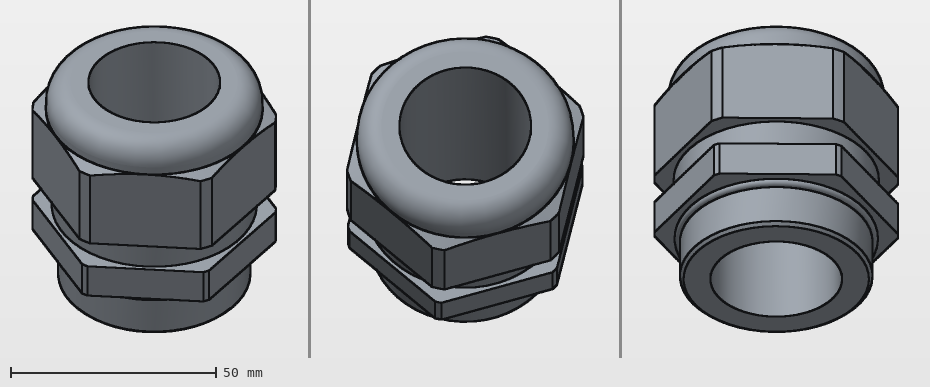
import cadquery as cq
import math

total_height = 59.5
collar_bottom = 11.0
body_hex_bottom = 13.05
body_hex_top = 22.0
nut_bottom = 29.4
nut_top = 51.4

bore_diameter = 32.15
thread_diameter = 47.0
thread_chamfer = 0.9
collar_diameter = 49.6
neck_diameter = 50.1
dome_diameter = 52.85
dome_fillet = 6.0

corner_diameter = 59.5
body_hex_flats = 52.3
nut_flats = 53.0
nut_chamfer_height = 1.2


def cylinder(diameter, bottom, top):
    return cq.Workplane("XY").workplane(offset=bottom).circle(diameter / 2).extrude(top - bottom)


def trimmed_hexagon(flats, bottom, top):
    """Hexagonal prism with corners on X, trimmed to the corner diameter."""
    across_corners = flats / math.cos(math.radians(30))
    prism = cq.Workplane("XY").workplane(offset=bottom).polygon(6, across_corners).extrude(top - bottom)
    return prism.intersect(cylinder(corner_diameter, bottom, top))


def round_edged_collar():
    """Disc whose rim is a full half-round, as on an O-ring."""
    rim_radius = (body_hex_bottom - collar_bottom) / 2
    rim_center_x = collar_diameter / 2 - rim_radius
    return (
        cq.Workplane("XZ")
        .moveTo(0, collar_bottom)
        .lineTo(rim_center_x, collar_bottom)
        .threePointArc(
            (collar_diameter / 2, collar_bottom + rim_radius),
            (rim_center_x, body_hex_bottom),
        )
        .lineTo(0, body_hex_bottom)
        .close()
        .revolve(360, (0, 0, 0), (0, 1, 0))
    )


def nut_envelope():
    """Turned blank whose top cone gives the curved chamfer on the nut flats."""
    profile = [
        (0, nut_bottom),
        (corner_diameter / 2, nut_bottom),
        (corner_diameter / 2, nut_top - nut_chamfer_height),
        (nut_flats / 2, nut_top),
        (0, nut_top),
    ]
    return cq.Workplane("XZ").polyline(profile).close().revolve(360, (0, 0, 0), (0, 1, 0))


thread = cylinder(thread_diameter, 0, collar_bottom).faces("<Z").chamfer(thread_chamfer)
collar = round_edged_collar()
body_hex = trimmed_hexagon(body_hex_flats, body_hex_bottom, body_hex_top)
neck = cylinder(neck_diameter, body_hex_top, nut_bottom)

nut = trimmed_hexagon(nut_flats, nut_bottom, nut_top).intersect(nut_envelope())
dome = cylinder(dome_diameter, nut_top, total_height).faces(">Z").edges().fillet(dome_fillet)

bore = cylinder(bore_diameter, 0, total_height)

result = thread.union(collar).union(body_hex).union(neck).union(nut).union(dome).cut(bore)